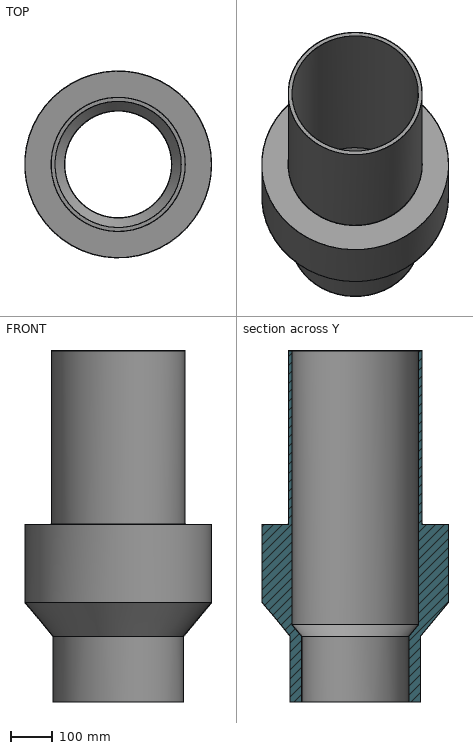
import cadquery as cq

total_height = 850.0
collar_top = 430.0
collar_bottom = 241.0
neck_top = 159.0

pipe_diameter = 324.0
collar_diameter = 452.0
neck_diameter = 316.0

step_height = 1.0
step_width = 0.25
step_diameter = pipe_diameter + 2 * step_width

pipe_bore = 305.0
neck_bore = 258.0

shoulder_slope = (collar_bottom - neck_top) / (collar_diameter - neck_diameter)
bore_taper_top = neck_top + shoulder_slope * (pipe_bore - neck_bore)


def revolve_about_z(profile_points):
    """Solid of revolution from (diameter, height) points, closed along the Z axis."""
    bottom = profile_points[0][1]
    top = profile_points[-1][1]
    profile = cq.Workplane("XZ").moveTo(0, bottom)
    for diameter, height in profile_points:
        profile = profile.lineTo(diameter / 2, height)
    return profile.lineTo(0, top).close().revolve(360, (0, 0), (0, 1))


def outer_body():
    """Neck, flared shoulder, collar, step and pipe."""
    return revolve_about_z([
        (neck_diameter, 0),
        (neck_diameter, neck_top),
        (collar_diameter, collar_bottom),
        (collar_diameter, collar_top),
        (step_diameter, collar_top),
        (step_diameter, collar_top + step_height),
        (pipe_diameter, collar_top + step_height),
        (pipe_diameter, total_height),
    ])


def through_bore():
    """Narrow neck bore, short taper and wide pipe bore."""
    return revolve_about_z([
        (neck_bore, 0),
        (neck_bore, neck_top),
        (pipe_bore, bore_taper_top),
        (pipe_bore, total_height),
    ])


result = outer_body().cut(through_bore())